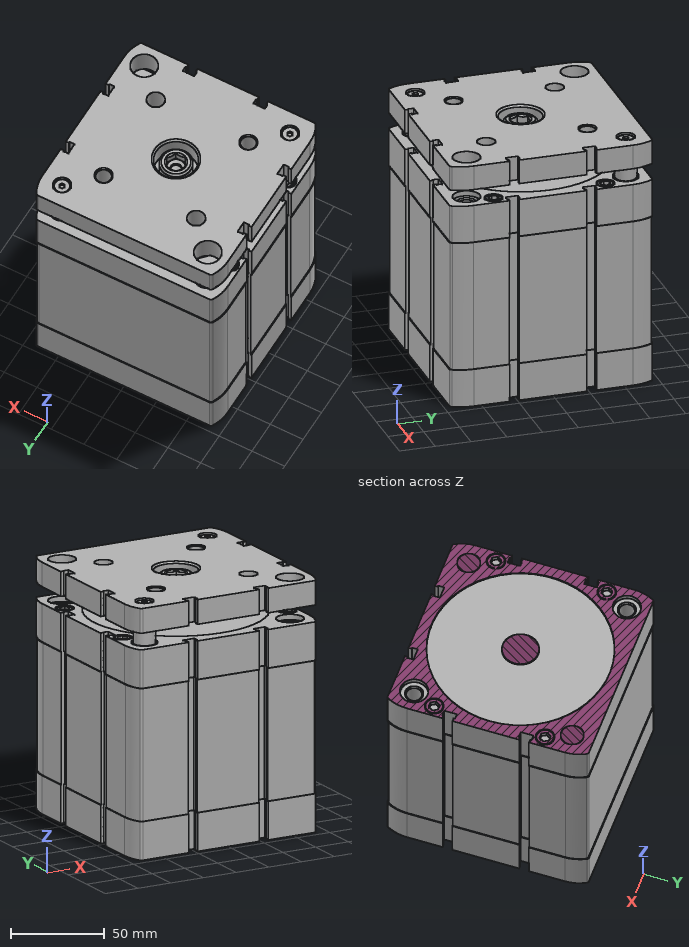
import cadquery as cq
import math

TOTAL_HEIGHT = 140.0
SIDE = 113.5
PLATE_THICKNESS = 13.7
ROD_GAP = 9.2
CAP_HEIGHT = 21.5
BARREL_INSET = 0.4
PLATE_BOTTOM = TOTAL_HEIGHT - PLATE_THICKNESS
HOUSING_TOP = PLATE_BOTTOM - ROD_GAP
BARREL_HEIGHT = HOUSING_TOP - 2 * CAP_HEIGHT
ROD_ENGAGEMENT = CAP_HEIGHT

GUIDE_OFFSET = 44.5
CORNER_RADIUS = 23.8
CORNER_BLEND = 1.7

SLOT_OFFSET = 21.5
SLOT_NECK_WIDTH = 5.5
SLOT_WIDTH = 6.9
SLOT_LIP = 2.0
SLOT_DEPTH = 5.0

ROD_DIAMETER = 20.0
ROD_FLAT_WIDTH = 17.0
ROD_FLAT_LENGTH = 7.4
ROD_FLAT_RUNOUT = 0.7
ROD_END_DIAMETER = 18.0
ROD_END_FACE_DIAMETER = 15.8
ROD_END_DEPTH = 2.7
SOCKET_WIDTH = 10.0
SOCKET_DEPTH = 4.8
SOCKET_MOUTH_DIAMETER = 12.0
SOCKET_PILOT_DIAMETER = 6.0
SOCKET_PILOT_DEPTH = 1.4
DRILL_POINT_ANGLE = 118.0

RECESS_DIAMETER = 24.0
RECESS_MOUTH_DIAMETER = 26.0
RECESS_DEPTH = 11.2
GUIDE_DIAMETER = 12.0
ACCESS_DIAMETER = 15.0
MOUNT_OFFSET = 28.3
DOWEL_DIAMETER = 10.0
THREAD_DIAMETER = 8.5
THREAD_MOUTH_DIAMETER = 10.0
GUIDE_SCREW_DEPTH = 0.8
GUIDE_SCREW_SOCKET_WIDTH = 3.0
GUIDE_SCREW_SOCKET_DEPTH = 1.4

SCREW_DIAMETER = 10.0
SCREW_FACE_DIAMETER = 8.4

BORE_RECESS_DIAMETER = 100.0
BORE_RECESS_DEPTH = 1.0
GUIDE_SEAT_DIAMETER = 14.0
GUIDE_SEAT_DEPTH = 0.4
COUNTERBORE_DIAMETER = 15.0
COUNTERBORE_DEPTH = 3.0
THROUGH_DIAMETER = 8.4
THROUGH_MOUTH_DIAMETER = 10.0
CAP_SCREW_X = 50.4
CAP_SCREW_Y = 31.2
CAP_SCREW_SOCKET_WIDTH = 5.0
CAP_SCREW_SOCKET_DEPTH = 2.8

GUIDE_POINTS = [(-GUIDE_OFFSET, -GUIDE_OFFSET), (GUIDE_OFFSET, GUIDE_OFFSET)]
ACCESS_POINTS = [(-GUIDE_OFFSET, GUIDE_OFFSET), (GUIDE_OFFSET, -GUIDE_OFFSET)]
THREAD_POINTS = [(-MOUNT_OFFSET, -MOUNT_OFFSET), (MOUNT_OFFSET, MOUNT_OFFSET)]
DOWEL_POINTS = [(-MOUNT_OFFSET, MOUNT_OFFSET), (MOUNT_OFFSET, -MOUNT_OFFSET)]
CAP_SCREW_POINTS = [(x, y) for x in (-CAP_SCREW_X, CAP_SCREW_X) for y in (-CAP_SCREW_Y, CAP_SCREW_Y)]


def cylinders(points, diameter, bottom, top):
    """Upright cylinders between two heights."""
    base = cq.Workplane("XY", origin=(0, 0, bottom))
    return base.pushPoints(points).circle(diameter / 2).extrude(top - bottom)


def cones(points, bottom_diameter, top_diameter, bottom, top):
    """Upright cones or truncated cones between two heights."""
    cone = cq.Solid.makeCone(bottom_diameter / 2, top_diameter / 2, top - bottom)
    return cq.Workplane("XY").pushPoints(points).eachpoint(
        lambda place: cone.translate((0, 0, bottom)).moved(place)
    )


def mouth_chamfers(points, hole_diameter, mouth_diameter, top):
    """Cutters for 45 degree chamfers at the mouths of holes."""
    depth = (mouth_diameter - hole_diameter) / 2
    return cones(points, hole_diameter, mouth_diameter, top - depth, top)


def hexagons(points, across_flats, bottom, top):
    """Upright hexagonal prisms with two flats facing +Y and -Y."""
    corner_diameter = across_flats / math.cos(math.pi / 6)
    return (
        cq.Workplane("XY", origin=(0, 0, bottom))
        .pushPoints(points)
        .polygon(6, corner_diameter)
        .extrude(top - bottom)
    )


def rounded_block(inset, bottom, height):
    """Square block with soft corners, inset from the full footprint."""
    half = SIDE / 2 - inset
    radius = CORNER_RADIUS - inset
    arc_height = half - GUIDE_OFFSET
    arc_angle = math.asin(arc_height / radius)
    arc_center_x = half - radius
    arc_end_x = arc_center_x + radius * math.cos(arc_angle)
    mid_x = arc_center_x + radius * math.cos(arc_angle / 2)
    mid_y = GUIDE_OFFSET + radius * math.sin(arc_angle / 2)
    return (
        cq.Workplane("XY", origin=(0, 0, bottom))
        .moveTo(half, -GUIDE_OFFSET)
        .lineTo(half, GUIDE_OFFSET)
        .threePointArc((mid_x, mid_y), (arc_end_x, half))
        .lineTo(-arc_end_x, half)
        .threePointArc((-mid_x, mid_y), (-half, GUIDE_OFFSET))
        .lineTo(-half, -GUIDE_OFFSET)
        .threePointArc((-mid_x, -mid_y), (-arc_end_x, -half))
        .lineTo(arc_end_x, -half)
        .threePointArc((mid_x, -mid_y), (half, -GUIDE_OFFSET))
        .close()
        .extrude(height)
        .edges("|Z and (>Y or <Y)")
        .fillet(CORNER_BLEND)
    )


def t_slots(inset):
    """Cutters for the full-height T-slots: two each on the -Y, +X and -X sides."""
    face = inset - SIDE / 2
    head_depth = SLOT_DEPTH - SLOT_LIP
    neck = cq.Workplane("XY").box(SLOT_NECK_WIDTH, SLOT_DEPTH, TOTAL_HEIGHT, centered=(True, False, False))
    head = cq.Workplane("XY").box(SLOT_WIDTH, head_depth, TOTAL_HEIGHT, centered=(True, False, False))
    slot = neck.union(head.translate((0, SLOT_LIP, 0)))
    slot_pair = slot.translate((-SLOT_OFFSET, face, 0)).union(slot.translate((SLOT_OFFSET, face, 0)))
    slots = slot_pair
    for angle in (90, -90):
        slots = slots.union(slot_pair.rotate((0, 0, 0), (0, 0, 1), angle))
    return slots


def slotted_block(inset, bottom, height):
    """Rounded block with T-slots of the same depth below its own faces."""
    return rounded_block(inset, bottom, height).cut(t_slots(inset))


def piston_rod_shank():
    """Rod between housing and plate, with a flat on the -Y and the +Y side."""
    shank = cylinders([(0, 0)], ROD_DIAMETER, HOUSING_TOP - ROD_ENGAGEMENT, PLATE_BOTTOM)
    flat_end = PLATE_BOTTOM - ROD_FLAT_LENGTH
    inner = ROD_FLAT_WIDTH / 2
    outer = ROD_DIAMETER / 2
    flat_cut = (
        cq.Workplane("YZ")
        .moveTo(inner, PLATE_BOTTOM)
        .lineTo(inner, flat_end)
        .lineTo(outer, flat_end - ROD_FLAT_RUNOUT)
        .lineTo(outer, PLATE_BOTTOM)
        .close()
        .extrude(ROD_DIAMETER / 2, both=True)
    )
    return shank.cut(flat_cut).cut(flat_cut.mirror("XZ"))


def piston_rod_end():
    """Chamfered rod end standing in the recess of the plate."""
    top = TOTAL_HEIGHT - ROD_END_DEPTH
    chamfer = (ROD_END_DIAMETER - ROD_END_FACE_DIAMETER) / 2
    end = cylinders([(0, 0)], ROD_END_DIAMETER, TOTAL_HEIGHT - RECESS_DEPTH, top)
    return end.faces(">Z").chamfer(chamfer)


def rod_socket():
    """Cutter for the hexagon socket with a conical floor and a drilled pilot."""
    axis = [(0, 0)]
    top = TOTAL_HEIGHT - ROD_END_DEPTH
    floor = top - SOCKET_DEPTH
    cone_slope = 1 / math.tan(math.radians(DRILL_POINT_ANGLE / 2))
    pilot_top = floor - (SOCKET_WIDTH - SOCKET_PILOT_DIAMETER) / 2 * cone_slope
    pilot_floor = pilot_top - SOCKET_PILOT_DEPTH
    tip = pilot_floor - SOCKET_PILOT_DIAMETER / 2 * cone_slope
    return (
        hexagons(axis, SOCKET_WIDTH, floor, top)
        .union(mouth_chamfers(axis, SOCKET_WIDTH, SOCKET_MOUTH_DIAMETER, top))
        .union(cones(axis, SOCKET_PILOT_DIAMETER, SOCKET_WIDTH, pilot_top, floor))
        .union(cylinders(axis, SOCKET_PILOT_DIAMETER, pilot_floor, pilot_top))
        .union(cones(axis, 0, SOCKET_PILOT_DIAMETER, tip, pilot_floor))
    )


def plate_recess():
    """Cutter for the chamfered central recess."""
    axis = [(0, 0)]
    recess = cylinders(axis, RECESS_DIAMETER, TOTAL_HEIGHT - RECESS_DEPTH, TOTAL_HEIGHT)
    return recess.union(mouth_chamfers(axis, RECESS_DIAMETER, RECESS_MOUTH_DIAMETER, TOTAL_HEIGHT))


def screw_heads(points, surface, face, socket_width, socket_depth):
    """Cutters that leave chamfered, socketed screw heads at or below a surface."""
    chamfer = (SCREW_DIAMETER - SCREW_FACE_DIAMETER) / 2
    base = face - chamfer
    around_heads = cylinders(points, SCREW_DIAMETER, base, surface).cut(
        cones(points, SCREW_DIAMETER, SCREW_FACE_DIAMETER, base, face)
    )
    return around_heads.union(hexagons(points, socket_width, face - socket_depth, face))


def make_moving_unit():
    """Plate, piston rod and guide rods, which travel together as one body."""
    guide_screws = screw_heads(
        GUIDE_POINTS,
        TOTAL_HEIGHT,
        TOTAL_HEIGHT - GUIDE_SCREW_DEPTH,
        GUIDE_SCREW_SOCKET_WIDTH,
        GUIDE_SCREW_SOCKET_DEPTH,
    )
    return (
        slotted_block(0, PLATE_BOTTOM, PLATE_THICKNESS)
        .cut(plate_recess())
        .cut(cylinders(ACCESS_POINTS, ACCESS_DIAMETER, PLATE_BOTTOM, TOTAL_HEIGHT))
        .cut(cylinders(DOWEL_POINTS, DOWEL_DIAMETER, PLATE_BOTTOM, TOTAL_HEIGHT))
        .cut(cylinders(THREAD_POINTS, THREAD_DIAMETER, PLATE_BOTTOM, TOTAL_HEIGHT))
        .cut(mouth_chamfers(THREAD_POINTS, THREAD_DIAMETER, THREAD_MOUTH_DIAMETER, TOTAL_HEIGHT))
        .cut(guide_screws)
        .union(piston_rod_shank())
        .union(piston_rod_end())
        .union(cylinders(GUIDE_POINTS, GUIDE_DIAMETER, HOUSING_TOP - ROD_ENGAGEMENT, PLATE_BOTTOM))
        .cut(rod_socket())
    )


def mounting_holes():
    """Cutters for the counterbored holes that pass through the housing."""
    seat = HOUSING_TOP - COUNTERBORE_DEPTH
    return (
        cylinders(ACCESS_POINTS, THROUGH_DIAMETER, 0, seat)
        .union(cylinders(ACCESS_POINTS, COUNTERBORE_DIAMETER, seat, HOUSING_TOP))
        .union(mouth_chamfers(ACCESS_POINTS, THROUGH_DIAMETER, THROUGH_MOUTH_DIAMETER, seat))
    )


def make_housing():
    """Barrel between two caps, with the bores that the rods run in."""
    bore_floor = HOUSING_TOP - ROD_ENGAGEMENT
    cap_screws = screw_heads(
        CAP_SCREW_POINTS, HOUSING_TOP, HOUSING_TOP, CAP_SCREW_SOCKET_WIDTH, CAP_SCREW_SOCKET_DEPTH
    )
    return (
        slotted_block(BARREL_INSET, CAP_HEIGHT, BARREL_HEIGHT)
        .union(slotted_block(0, 0, CAP_HEIGHT))
        .union(slotted_block(0, CAP_HEIGHT + BARREL_HEIGHT, CAP_HEIGHT))
        .cut(cylinders([(0, 0)], BORE_RECESS_DIAMETER, HOUSING_TOP - BORE_RECESS_DEPTH, HOUSING_TOP))
        .cut(cylinders([(0, 0)], ROD_DIAMETER, bore_floor, HOUSING_TOP))
        .cut(cylinders(GUIDE_POINTS, GUIDE_DIAMETER, bore_floor, HOUSING_TOP))
        .cut(cylinders(GUIDE_POINTS, GUIDE_SEAT_DIAMETER, HOUSING_TOP - GUIDE_SEAT_DEPTH, HOUSING_TOP))
        .cut(mounting_holes())
        .cut(cap_screws)
    )


housing = make_housing().solids()
moving_unit = make_moving_unit().solids()
result = cq.Compound.makeCompound([housing.val(), moving_unit.val()])